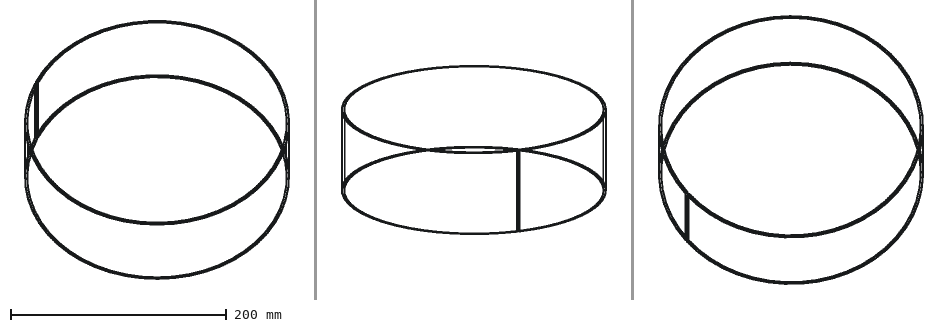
import cadquery as cq

outer_diameter = 245.0
wall_thickness = 2.5
height = 80.0
outer_chamfer = 0.5
inner_chamfer = 0.2
gap_angle = 1.0

full_turn = 360.0
outer_radius = outer_diameter / 2
inner_radius = outer_radius - wall_thickness


def wall_section():
    """Wall cross-section on the -X side of the XZ plane, with all four corners chamfered."""
    return (
        cq.Workplane("XZ")
        .moveTo(-outer_radius, outer_chamfer)
        .lineTo(-outer_radius, height - outer_chamfer)
        .lineTo(-outer_radius + outer_chamfer, height)
        .lineTo(-inner_radius - inner_chamfer, height)
        .lineTo(-inner_radius, height - inner_chamfer)
        .lineTo(-inner_radius, inner_chamfer)
        .lineTo(-inner_radius - inner_chamfer, 0)
        .lineTo(-outer_radius + outer_chamfer, 0)
        .close()
    )


def split_ring():
    """Wall swept counter-clockwise about Z from the -X axis, stopping short to leave the gap."""
    axis_start = (0, 0, 0)
    axis_end = (0, 1, 0)
    return wall_section().revolve(full_turn - gap_angle, axis_start, axis_end)


result = split_ring()